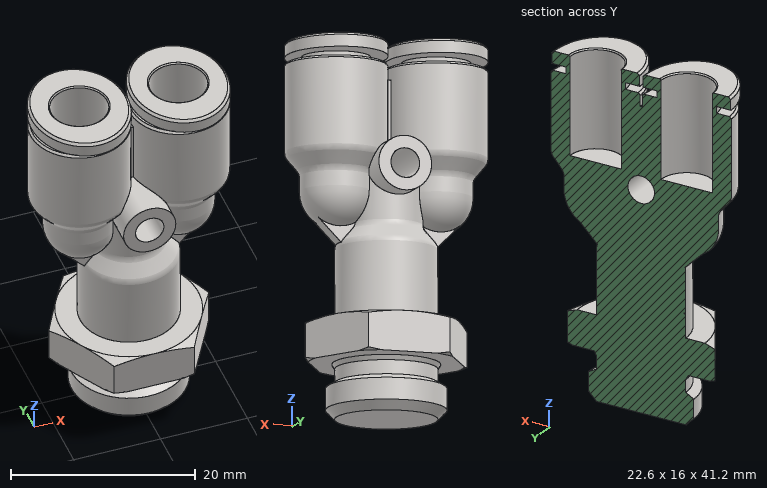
import cadquery as cq
import math


total_height = 41.15
flange_radius = 6.6
body_radius = 5.6
neck_radius = 4.0
flange_shoulder_z = 3.4
shoulder_slope = math.radians(30)
hex_bottom_z = 6.05
hex_top_z = 10.55
relief_width = 0.3
body_corner_z = 19.05

hex_across_flats = 16.0
hex_chamfer_angle = math.radians(20)
hex_top_face_radius = hex_across_flats / 2
hex_bottom_face_radius = 8.6

taper_angle = math.radians(40)
taper_height = (body_radius - neck_radius) / math.tan(taper_angle)
taper_blend_radius = 1.0

socket_offset = 5.7
socket_sphere_z = 24.7
socket_corner_z = 28.63
socket_top_z = 38.8
socket_top_chamfer = 0.25

collar_radius = 3.75
button_bottom_z = 39.55
button_length = 13.0
button_width = 11.0
button_chamfer = 0.28
bore_radius = 3.2
bore_chamfer = 0.15
bore_floor_z = 29.0

web_thickness = 2.0
web_top_z = 37.2
web_edge_inset = 0.16
boss_z = 27.1
boss_radius = 3.0
boss_length = 2 * flange_radius
boss_hole_radius = 1.63


def revolve_about_z(profile):
    return profile.close().revolve(360, (0, 0, 0), (0, 1, 0))


def blend_rings(solid, heights, radius):
    """Fillet the full circular edges that lie at the given heights."""
    tolerance = 0.01
    for z in heights:
        box = cq.selectors.BoxSelector(
            (-flange_radius, -flange_radius, z - tolerance),
            (flange_radius, flange_radius, z + tolerance),
            boundingbox=True,
        )
        solid = solid.edges(box).fillet(radius)
    return solid


def make_stem():
    """Flange, relieved neck, body and upper taper as one turned shape."""
    step = flange_radius - body_radius
    shoulder_top_z = flange_shoulder_z + step * math.tan(shoulder_slope)
    relief_bottom_z = hex_bottom_z - relief_width / math.tan(shoulder_slope)
    neck_bottom_z = body_corner_z + taper_height
    profile = (
        cq.Workplane("XZ")
        .lineTo(flange_radius - step, 0)
        .lineTo(flange_radius, step)
        .lineTo(flange_radius, flange_shoulder_z)
        .lineTo(body_radius, shoulder_top_z)
        .lineTo(body_radius, relief_bottom_z)
        .lineTo(body_radius + relief_width, hex_bottom_z)
        .lineTo(body_radius, hex_bottom_z)
        .lineTo(body_radius, body_corner_z)
        .lineTo(neck_radius, neck_bottom_z)
        .lineTo(neck_radius, boss_z)
        .lineTo(0, boss_z)
    )
    stem = revolve_about_z(profile)
    return blend_rings(stem, (body_corner_z, neck_bottom_z), taper_blend_radius)


def make_hexagon():
    """Hexagon with its corners turned off at both ends."""
    corner_radius = hex_across_flats / math.sqrt(3)
    slope = math.tan(hex_chamfer_angle)
    top_drop = (corner_radius - hex_top_face_radius) * slope
    bottom_rise = (corner_radius - hex_bottom_face_radius) * slope
    prism = (
        cq.Workplane("XY", origin=(0, 0, hex_bottom_z))
        .polygon(6, 2 * corner_radius)
        .extrude(hex_top_z - hex_bottom_z)
    )
    envelope = revolve_about_z(
        cq.Workplane("XZ")
        .moveTo(0, hex_bottom_z)
        .lineTo(hex_bottom_face_radius, hex_bottom_z)
        .lineTo(corner_radius, hex_bottom_z + bottom_rise)
        .lineTo(corner_radius, hex_top_z - top_drop)
        .lineTo(hex_top_face_radius, hex_top_z)
        .lineTo(0, hex_top_z)
    )
    return prism.intersect(envelope)


def make_socket():
    """Socket barrel with its spherical end, centred on the Z axis."""
    taper_bottom_z = socket_corner_z - taper_height
    arc_offset = neck_radius / math.sqrt(2)
    profile = (
        cq.Workplane("XZ")
        .moveTo(0, socket_sphere_z - neck_radius)
        .threePointArc(
            (arc_offset, socket_sphere_z - arc_offset),
            (neck_radius, socket_sphere_z),
        )
        .lineTo(neck_radius, taper_bottom_z)
        .lineTo(body_radius, socket_corner_z)
        .lineTo(body_radius, socket_top_z - socket_top_chamfer)
        .lineTo(body_radius - socket_top_chamfer, socket_top_z)
        .lineTo(0, socket_top_z)
    )
    socket = revolve_about_z(profile)
    return blend_rings(socket, (taper_bottom_z, socket_corner_z), taper_blend_radius)


def make_button():
    """Collar and oval press plate, centred on the Z axis."""
    collar = (
        cq.Workplane("XY", origin=(0, 0, socket_top_z))
        .circle(collar_radius)
        .extrude(button_bottom_z - socket_top_z)
    )
    plate = (
        cq.Workplane("XY", origin=(0, 0, button_bottom_z))
        .ellipse(button_width / 2, button_length / 2)
        .extrude(total_height - button_bottom_z)
        .faces(">Z")
        .chamfer(button_chamfer)
    )
    return collar.union(plate)


def make_bore():
    """Tube bore with a chamfered mouth, centred on the Z axis."""
    return revolve_about_z(
        cq.Workplane("XZ")
        .moveTo(0, bore_floor_z)
        .lineTo(bore_radius, bore_floor_z)
        .lineTo(bore_radius, total_height - bore_chamfer)
        .lineTo(bore_radius + bore_chamfer, total_height)
        .lineTo(0, total_height)
    )


def make_web():
    """Flat web whose lower edges run at 45 degrees, just inside the socket ends."""
    edge_offset = (neck_radius - web_edge_inset) / math.sqrt(2)
    edge_x = socket_offset + edge_offset
    edge_z = socket_sphere_z - edge_offset
    foot_z = edge_z - (edge_x - neck_radius)
    right_half = [
        (neck_radius, foot_z),
        (edge_x, edge_z),
        (socket_offset, socket_sphere_z),
        (socket_offset, web_top_z),
    ]
    left_half = [(-x, z) for x, z in reversed(right_half)]
    return (
        cq.Workplane("XZ")
        .polyline(right_half + left_half)
        .close()
        .extrude(web_thickness / 2, both=True)
    )


def make_boss_cylinder(radius):
    return cq.Workplane("XZ", origin=(0, 0, boss_z)).circle(radius).extrude(boss_length / 2, both=True)


result = make_stem().union(make_hexagon()).union(make_web())
for side in (-1, 1):
    place = (side * socket_offset, 0, 0)
    result = result.union(make_socket().translate(place))
    result = result.union(make_button().translate(place))
    result = result.cut(make_bore().translate(place))
result = result.union(make_boss_cylinder(boss_radius))
result = result.cut(make_boss_cylinder(boss_hole_radius))